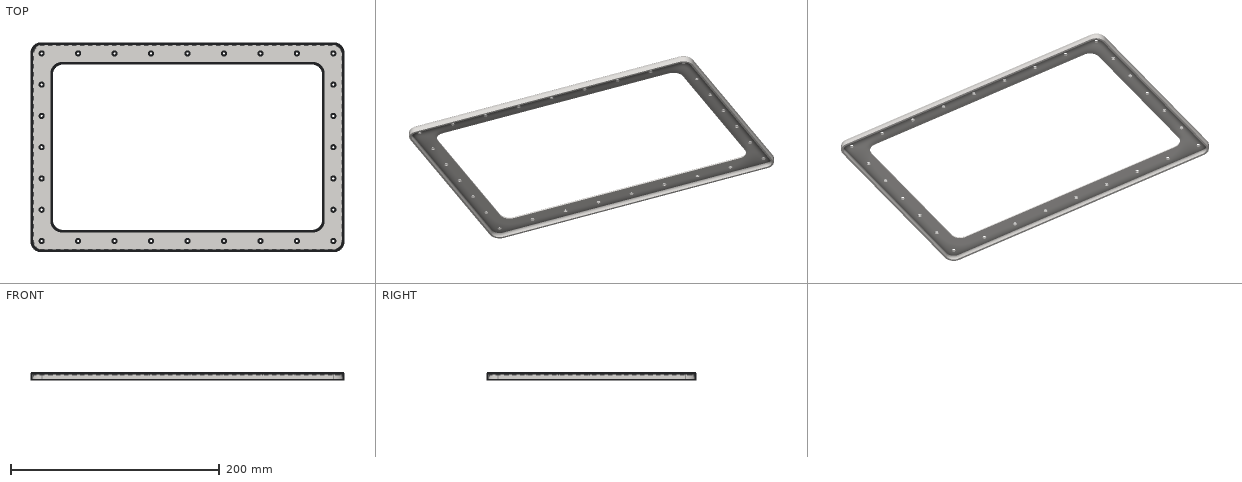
import cadquery as cq

length = 300.0
width = 200.0
thickness = 7.0
rail_width = length / 15
corner_radius = rail_width / 2
wall_thickness = 2.0
edge_chamfer = wall_thickness / 2

hole_diameter = 4.0
hole_inset = rail_width / 2
holes_along_length = 9
holes_along_width = 7


def rounded_block(inset, height, radius):
    """Rounded block standing on Z = 0, its sides set in from the outer sides of the frame."""
    block = cq.Workplane("XY").box(
        length - 2 * inset, width - 2 * inset, height, centered=(True, True, False)
    )
    return block.edges("|Z").fillet(radius)


def perimeter_points():
    """Hole centres around the frame, each corner counted once."""
    span_x = length - 2 * hole_inset
    span_y = width - 2 * hole_inset
    pitch_x = span_x / (holes_along_length - 1)
    pitch_y = span_y / (holes_along_width - 1)
    points = []
    for side in (-1, 1):
        for i in range(holes_along_length):
            points.append((-span_x / 2 + i * pitch_x, side * span_y / 2))
        for j in range(1, holes_along_width - 1):
            points.append((side * span_x / 2, -span_y / 2 + j * pitch_y))
    return points


plate = rounded_block(0, thickness, corner_radius)
opening = rounded_block(rail_width, thickness, corner_radius)
frame = plate.cut(opening).faces(">Z").chamfer(edge_chamfer)

hollow = rounded_block(wall_thickness, thickness - wall_thickness, corner_radius - wall_thickness)

holes = cq.Workplane("XY").pushPoints(perimeter_points()).circle(hole_diameter / 2).extrude(thickness)

result = frame.cut(hollow).cut(holes)